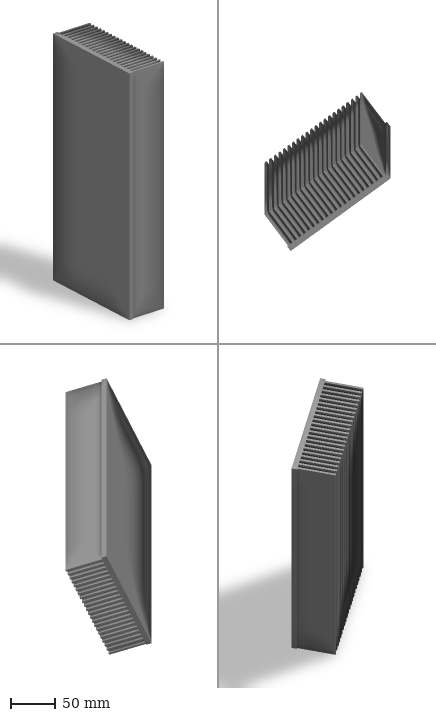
import cadquery as cq

width = 139.7
depth = 50.8
height = 304.8

base_thickness = 6.35

fin_count = 22
fin_thickness = 2.54
channel_width = 3.81
side_margin = 2.54
fin_pitch = fin_thickness + channel_width
fin_length = depth - base_thickness


def make_base():
    """Flat plate whose front face lies at Y = 0."""
    return cq.Workplane("XY").box(width, base_thickness, height, centered=(True, False, True))


def make_fins():
    """Row of equal, full-height fins standing on the back of the plate."""
    first_fin_left = -width / 2 + side_margin
    fin_corners = [(first_fin_left + i * fin_pitch, base_thickness) for i in range(fin_count)]
    return (
        cq.Workplane("XY")
        .pushPoints(fin_corners)
        .box(fin_thickness, fin_length, height, centered=(False, False, True))
    )


result = make_base().union(make_fins())